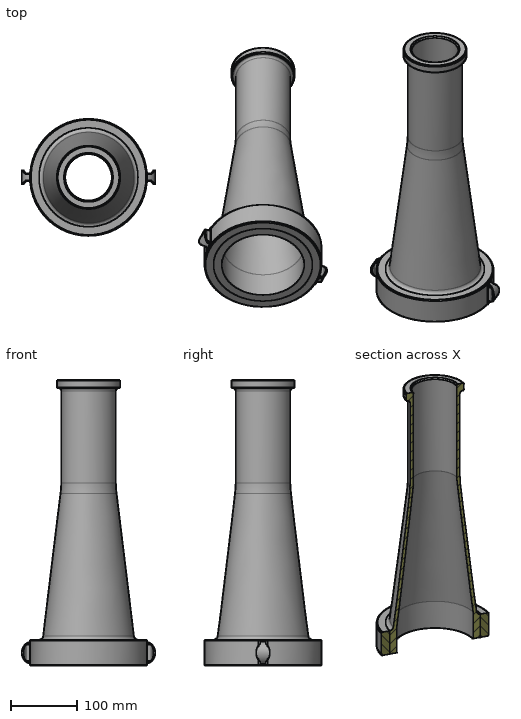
import cadquery as cq
import math

ring_height = 40.0
ring_radius = 89.0
ring_edge = 1.7

total_height = 433.5
collar_radius = 75.0
cone_foot_radius = 69.0
cone_foot_z = 45.5
cone_top_z = 261.8
tube_start_z = 278.0
tube_radius = 41.5
lip_radius = 48.0
lip_bottom_z = 420.5
lip_edge = 1.7
lip_fillet = 3.5

bore_radius = 35.0
bore_chamfer = 2.0
wall = tube_radius - bore_radius

lug_span = 202.5
lug_tip_x = lug_span / 2
lug_disc_radius = 17.5
lug_side_radius = 18.5
lug_half_width = 10.5
lug_neck_half_width = 6.0
lug_neck_end_x = 95.5
lug_flare_end_x = 98.5
lug_neck_fillet = 2.5
lug_core_width = 8.5
lug_pad_x = 89.3
lug_pad_width = 14.7
lug_root_x = 80.0

mid_arc_factor = math.sqrt(0.5)

blend_height = tube_start_z - cone_top_z
cone_height = cone_top_z - cone_foot_z
cone_slope = (cone_foot_radius - tube_radius) / (cone_height + blend_height / 2)
cone_angle = math.atan(cone_slope)
blend_radius = blend_height / math.sin(cone_angle)
cone_top_radius = tube_radius + blend_radius * (1 - math.cos(cone_angle))


def make_nozzle():
    blend_middle = (
        tube_radius + blend_radius * (1 - math.cos(cone_angle / 2)),
        tube_start_z - blend_radius * math.sin(cone_angle / 2),
    )
    foot_width = collar_radius - cone_foot_radius
    foot_height = cone_foot_z - ring_height
    foot_middle = (
        collar_radius - foot_width * mid_arc_factor,
        cone_foot_z - foot_height * mid_arc_factor,
    )
    fillet_middle = (
        tube_radius + lip_fillet * (1 - mid_arc_factor),
        lip_bottom_z - lip_fillet * (1 - mid_arc_factor),
    )
    outside = (
        cq.Workplane("XZ")
        .lineTo(collar_radius, 0)
        .lineTo(collar_radius, ring_height)
        .threePointArc(foot_middle, (cone_foot_radius, cone_foot_z))
        .lineTo(cone_top_radius, cone_top_z)
        .threePointArc(blend_middle, (tube_radius, tube_start_z))
        .lineTo(tube_radius, lip_bottom_z - lip_fillet)
        .threePointArc(fillet_middle, (tube_radius + lip_fillet, lip_bottom_z))
        .lineTo(lip_radius - lip_edge, lip_bottom_z)
        .lineTo(lip_radius, lip_bottom_z + lip_edge)
        .lineTo(lip_radius, total_height - lip_edge)
        .lineTo(lip_radius - lip_edge, total_height)
        .lineTo(0, total_height)
        .close()
        .revolve(360, (0, 0, 0), (0, 1, 0))
    )
    return outside.cut(make_bore())


def make_bore():
    """Bore that keeps the wall even through the cone and opens with a chamfer at the lip."""
    bore_foot_radius = cone_foot_radius - wall
    return (
        cq.Workplane("XZ")
        .lineTo(bore_foot_radius, 0)
        .lineTo(bore_foot_radius, cone_foot_z)
        .lineTo(bore_radius, tube_start_z)
        .lineTo(bore_radius, total_height - bore_chamfer)
        .lineTo(bore_radius + bore_chamfer, total_height)
        .lineTo(0, total_height)
        .close()
        .revolve(360, (0, 0, 0), (0, 1, 0))
    )


def make_lug():
    """Lug on the +X side: flared in plan, rounded like a disc along Y, with a lens-shaped flare along X."""
    middle_z = ring_height / 2
    half_plan = (
        cq.Workplane("XY")
        .moveTo(lug_root_x, 0)
        .lineTo(lug_root_x, lug_neck_half_width)
        .lineTo(lug_neck_end_x, lug_neck_half_width)
        .lineTo(lug_flare_end_x, lug_half_width)
        .lineTo(lug_tip_x, lug_half_width)
        .lineTo(lug_tip_x, 0)
        .close()
        .extrude(ring_height)
    )
    neck_corner = cq.selectors.NearestToPointSelector((lug_neck_end_x, lug_neck_half_width, middle_z))
    half_plan = half_plan.edges("|Z").edges(neck_corner).fillet(lug_neck_fillet)
    flared = half_plan.union(half_plan.mirror("XZ"))
    disc = (
        cq.Workplane("XZ")
        .center(lug_tip_x - lug_disc_radius, middle_z)
        .circle(lug_disc_radius)
        .extrude(lug_half_width, both=True)
    )
    for side in (-1, 1):
        side_bulge = (
            cq.Workplane("YZ")
            .center(side * (lug_half_width - lug_side_radius), middle_z)
            .circle(lug_side_radius)
            .extrude(lug_tip_x)
        )
        flared = flared.intersect(side_bulge)
    core = cq.Workplane("XY").box(
        lug_tip_x - lug_root_x,
        lug_core_width,
        ring_height,
        centered=(False, True, False),
    ).translate((lug_root_x, 0, 0))
    return flared.union(core).intersect(disc).union(make_lug_pad())


def make_lug_pad():
    """Flat pad, between the ring's edge chamfers, that the lug stands on."""
    return cq.Workplane("XY").box(
        lug_pad_x - lug_root_x,
        lug_pad_width,
        ring_height - 2 * ring_edge,
        centered=(False, True, False),
    ).translate((lug_root_x, 0, ring_edge))


def make_ring():
    ring = cq.Workplane("XY").circle(ring_radius).extrude(ring_height)
    ring = ring.edges().chamfer(ring_edge)
    for angle in (0, 180):
        ring = ring.union(make_lug().rotate((0, 0, 0), (0, 0, 1), angle))
    hole = cq.Workplane("XY").circle(collar_radius).extrude(ring_height)
    return ring.cut(hole)


nozzle = make_nozzle()
coupling_ring = make_ring()
result = cq.Compound.makeCompound([nozzle.val(), coupling_ring.val()])